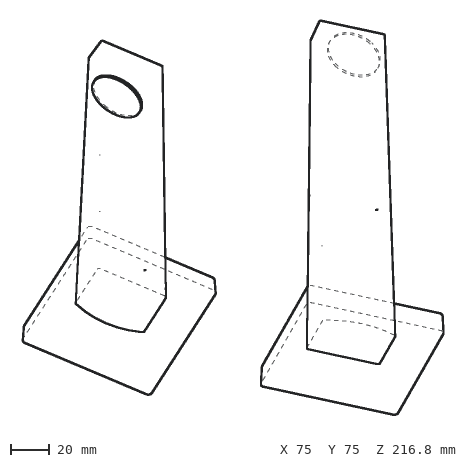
import cadquery as cq
import math

base_side = 75.0
base_height = 12.1
base_top_side = 74.2
base_corner_radius = 2.2
base_edge_fillet = 1.0

total_height = 216.8
post_back_y = 14.7
post_bottom_width = 40.0
post_top_width = 36.0
bottom_side_y = -10.8
bottom_crown_y = -14.7
top_side_y = -0.5
rim_rounding_loss = 0.18
top_crown_y = -0.48
top_back_drop = 2.5
post_edge_fillet = 1.0

button_diameter = 28.5
button_center_z = 196.9
button_protrusion = 1.3
button_embed = 2.2


def make_base():
    draft = math.degrees(math.atan((base_side - base_top_side) / 2 / base_height))
    plate = cq.Workplane("XY").rect(base_side, base_side).extrude(base_height, taper=draft)
    plate = plate.edges("not (<Z or >Z)").fillet(base_corner_radius)
    return plate.faces(">Z").edges().fillet(base_edge_fillet)


def post_section(plane, width, depth, bow):
    """Rectangle with its back edge on the plane's X axis and a bowed front side."""
    half = width / 2
    wire = (
        cq.Workplane(plane)
        .lineTo(half, 0)
        .lineTo(half, -depth)
        .threePointArc((0, -depth - bow), (-half, -depth))
        .lineTo(-half, 0)
        .close()
    )
    return wire.val()


def make_post():
    bottom_plane = cq.Plane(origin=(0, post_back_y, base_height))
    bottom = post_section(
        bottom_plane, post_bottom_width, post_back_y - bottom_side_y, bottom_side_y - bottom_crown_y
    )
    top_run = post_back_y - top_side_y
    top_plane = cq.Plane(
        origin=(0, post_back_y, total_height + rim_rounding_loss - top_back_drop),
        xDir=(1, 0, 0),
        normal=(0, top_back_drop, top_run),
    )
    top = post_section(
        top_plane, post_top_width, math.hypot(top_run, top_back_drop), top_side_y - top_crown_y
    )
    post = cq.Workplane(cq.Solid.makeLoft([bottom, top], True))
    return post.edges("not <Z").fillet(post_edge_fillet)


def make_button():
    slope = (top_crown_y - bottom_crown_y) / (total_height - base_height)
    crown_y = top_crown_y - slope * (total_height - button_center_z)
    axis = cq.Vector(0, -1, slope).normalized()
    start = cq.Vector(0, crown_y, button_center_z) - axis * button_embed
    plane = cq.Plane(origin=start, xDir=(1, 0, 0), normal=axis)
    return cq.Workplane(plane).circle(button_diameter / 2).extrude(button_embed + button_protrusion)


result = make_base().union(make_post()).union(make_button())